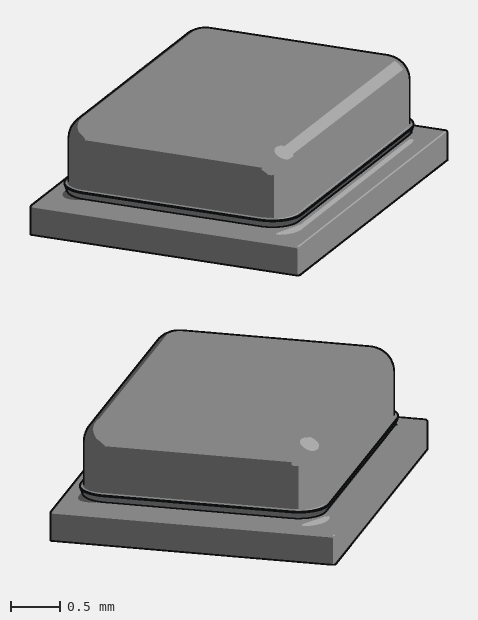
import cadquery as cq
import math

length_x = 3.0
length_y = 3.76
base_height = 0.32
base_edge_radius = 0.03

total_height = 1.2
lid_x = 2.53
lid_y = 3.32
lid_corner_radius = 0.28
lid_top_radius = 0.25

rim_reach = 0.038
rim_bottom_z = 0.462
rim_top_z = 0.475
rim_root_radius = 0.014

seam_radius = 0.093
waist_reach = 0.01
waist_z = 0.39

foot_overlap = lid_corner_radius / 2


def make_base():
    """Flat board with its upright and top edges rounded."""
    board = cq.Workplane("XY").box(length_x, length_y, base_height, centered=(True, True, False))
    return board.edges("|Z or >Z").fillet(base_edge_radius)


def make_lid():
    """Round-cornered lid standing on the board, with a rounded top."""
    return (
        cq.Workplane("XY", origin=(0, 0, base_height))
        .rect(lid_x, lid_y)
        .extrude(total_height - base_height)
        .edges("|Z")
        .fillet(lid_corner_radius)
        .faces(">Z")
        .edges()
        .fillet(lid_top_radius)
    )


def lid_outline():
    """Rounded rectangle of the lid wall, starting at the middle of the -Y side."""
    half_x = lid_x / 2
    half_y = lid_y / 2
    r = lid_corner_radius
    return (
        cq.Workplane("XY")
        .moveTo(0, -half_y)
        .lineTo(half_x - r, -half_y)
        .tangentArcPoint((r, r))
        .lineTo(half_x, half_y - r)
        .tangentArcPoint((-r, r))
        .lineTo(r - half_x, half_y)
        .tangentArcPoint((-r, -r))
        .lineTo(-half_x, r - half_y)
        .tangentArcPoint((r, -r))
        .close()
    )


def make_foot():
    """Rim and solder seam, one cross-section carried around the lid wall."""
    wall = -lid_y / 2
    inner = wall + foot_overlap
    rim_tip = wall - rim_reach
    waist = wall - waist_reach

    seam_center_z = base_height + seam_radius
    seam_angle = math.acos((seam_center_z - waist_z) / seam_radius)
    seam_toe = waist - seam_radius * math.sin(seam_angle)
    seam_mid = (
        seam_toe + seam_radius * math.sin(seam_angle / 2),
        seam_center_z - seam_radius * math.cos(seam_angle / 2),
    )

    root_top_z = rim_top_z + rim_root_radius
    root_mid_offset = rim_root_radius * (1 - math.cos(math.pi / 4))
    root_mid = (wall - root_mid_offset, rim_top_z + root_mid_offset)

    section = (
        cq.Workplane("YZ")
        .moveTo(inner, base_height)
        .lineTo(seam_toe, base_height)
        .threePointArc(seam_mid, (waist, waist_z))
        .lineTo(rim_tip, rim_bottom_z)
        .lineTo(rim_tip, rim_top_z)
        .lineTo(wall - rim_root_radius, rim_top_z)
        .threePointArc(root_mid, (wall, root_top_z))
        .lineTo(inner, root_top_z)
        .close()
    )
    return section.sweep(lid_outline())


result = make_base().union(make_lid()).union(make_foot())